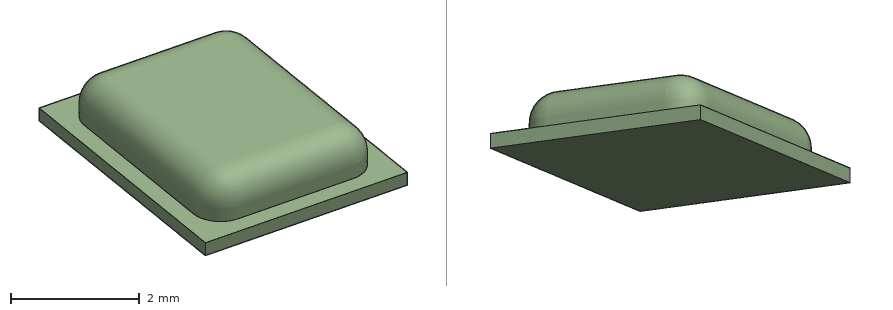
import cadquery as cq

board_length = 4.72
board_width = 3.76
board_thickness = 0.235
total_height = 0.97
lid_length = 4.1
lid_width = 3.14
lid_radius = 0.5

lid_height = total_height - board_thickness


def make_board():
    """Flat rectangular board with its underside at Z = 0."""
    return cq.Workplane("XY").box(
        board_length, board_width, board_thickness, centered=(True, True, False)
    )


def make_lid():
    """Rounded lid on the board, with ball-shaped top corners."""
    block = (
        cq.Workplane("XY")
        .workplane(offset=board_thickness)
        .box(lid_length, lid_width, lid_height, centered=(True, True, False))
    )
    return block.edges("|Z or >Z").fillet(lid_radius)


board = make_board()
lid = make_lid()

result = cq.Compound.makeCompound([board.val(), lid.val()])